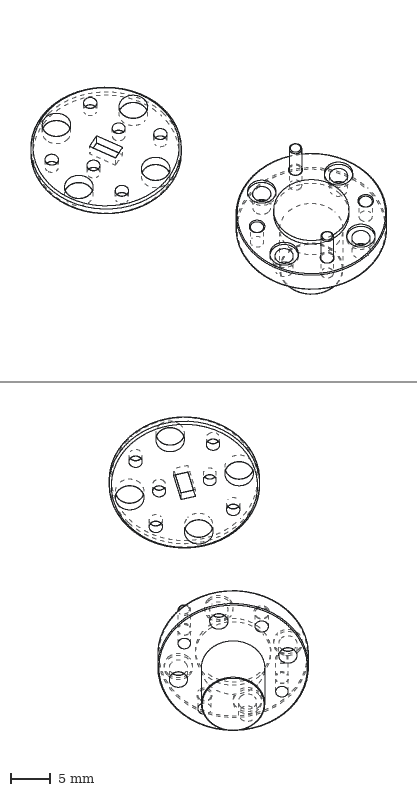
import cadquery as cq
import math

disc_diameter = 19.05
bolt_circle_diameter = 14.3
flange_offset_x = 48.05 - disc_diameter
flange_offset_y = 1.2
bolt_angles = [0, 90, 180, 270]
free_dowel_angles = [45, 225]
pin_angles = [135, 315]

plate_thickness = 1.6
plate_chamfer = 0.3
plate_bolt_hole_diameter = 3.6
plate_dowel_hole_diameter = 1.7
inner_hole_diameter = 1.65
inner_hole_radius = 3.3
window_length = 3.75
window_width = window_length / 2

flange_thickness = 3.3
flange_chamfer = 0.15
boss_diameter = disc_diameter / 2
boss_height = 0.75
stem_diameter = 8.0
stem_length = 8.6
stem_chamfer = 0.1
flange_bolt_hole_diameter = 2.3
counterbore_diameter = 3.6
counterbore_depth = 0.5
dowel_hole_diameter = 1.7
dowel_hole_chamfer = 0.15
pin_seat_chamfer = 0.1

pin_diameter = 1.6
pin_projection = 4.65
pin_chamfer = 0.15


def bolt_circle_points(angles):
    """Points on the bolt circle at the given angles in degrees."""
    radius = bolt_circle_diameter / 2
    return [
        (radius * math.cos(math.radians(a)), radius * math.sin(math.radians(a)))
        for a in angles
    ]


def make_plate():
    """Chamfered disc with a rectangular window and three sets of through holes."""
    plate = (
        cq.Workplane("XY")
        .workplane(offset=-plate_thickness)
        .circle(disc_diameter / 2)
        .extrude(plate_thickness)
        .faces("<Z or >Z")
        .chamfer(plate_chamfer)
    )
    top = plate.faces(">Z").workplane(origin=(0, 0, 0))
    plate = top.rect(window_length, window_width).cutThruAll()
    hole_sets = [
        (plate_bolt_hole_diameter, bolt_circle_points(bolt_angles)),
        (plate_dowel_hole_diameter, bolt_circle_points(free_dowel_angles + pin_angles)),
        (inner_hole_diameter, [(0, inner_hole_radius), (0, -inner_hole_radius)]),
    ]
    for diameter, points in hole_sets:
        top = plate.faces(">Z").workplane(origin=(0, 0, 0))
        plate = top.pushPoints(points).hole(diameter)
    return plate


def cut_flange_holes(flange):
    """Cut counterbored bolt holes, chamfered dowel holes and pin seats."""
    face = cq.Workplane("XY").workplane(offset=flange_thickness)
    bolt_face = face.pushPoints(bolt_circle_points(bolt_angles))
    bolt_holes = bolt_face.circle(flange_bolt_hole_diameter / 2).extrude(-flange_thickness)
    counterbores = bolt_face.circle(counterbore_diameter / 2).extrude(-counterbore_depth)
    flange = flange.cut(bolt_holes).cut(counterbores)

    hole_sets = [
        (free_dowel_angles, dowel_hole_diameter, dowel_hole_chamfer),
        (pin_angles, pin_diameter, pin_seat_chamfer),
    ]
    for angles, diameter, chamfer in hole_sets:
        for x, y in bolt_circle_points(angles):
            hole = face.center(x, y).circle(diameter / 2).extrude(-flange_thickness)
            flange = flange.cut(hole)
            mouth = cq.Solid.makeCone(
                diameter / 2,
                diameter / 2 + chamfer,
                chamfer,
                cq.Vector(x, y, flange_thickness - chamfer),
            )
            flange = flange.cut(cq.Workplane(mouth))
    return flange


def make_flange():
    """Chamfered disc with a raised boss on top and a stem underneath."""
    disc = (
        cq.Workplane("XY")
        .circle(disc_diameter / 2)
        .extrude(flange_thickness)
        .faces("<Z or >Z")
        .chamfer(flange_chamfer)
    )
    boss = (
        cq.Workplane("XY")
        .workplane(offset=flange_thickness)
        .circle(boss_diameter / 2)
        .extrude(boss_height)
    )
    stem = (
        cq.Workplane("XY")
        .circle(stem_diameter / 2)
        .extrude(-stem_length)
        .faces("<Z")
        .chamfer(stem_chamfer)
    )
    flange = cut_flange_holes(disc.union(boss).union(stem))
    return flange.translate((flange_offset_x, flange_offset_y, 0))


def make_pin(x, y):
    """One alignment pin with a chamfered tip, standing at a bolt circle point."""
    pin = (
        cq.Workplane("XY")
        .circle(pin_diameter / 2)
        .extrude(flange_thickness + pin_projection)
        .faces(">Z")
        .chamfer(pin_chamfer)
    )
    return pin.translate((flange_offset_x + x, flange_offset_y + y, 0))


plate = make_plate()
flange = make_flange()
pins = [make_pin(x, y) for x, y in bolt_circle_points(pin_angles)]

result = cq.Compound.makeCompound([plate.val(), flange.val(), *[pin.val() for pin in pins]])